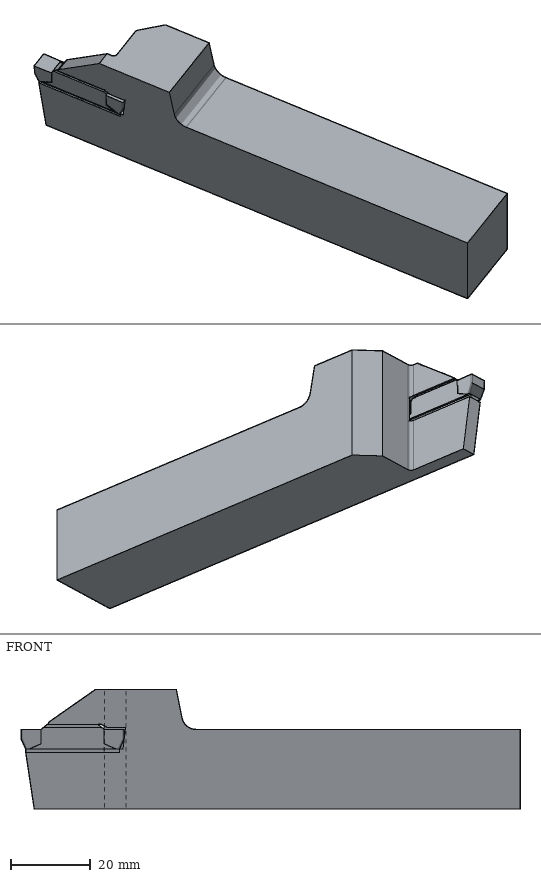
import cadquery as cq
import math

length = 125.0
shank_width = 20.0
shank_height = 20.0
head_height = 30.0

toe_x = 3.2
nose_x = 1.1
jaw_tip_x = 6.6
jaw_lip_x = 7.0
jaw_lip_z = 21.9
ramp_end_x = 18.6
head_end_x = 38.9
head_foot_x = 40.9
head_foot_radius = 3.5

blade_thickness = 4.0
body_start_x = 20.9
body_chamfer = 5.4
blade_root_radius = 1.0

insert_length = 25.8
cutting_width = 5.0
cutting_length = 5.0
cutting_top_z = 20.0
side_clearance_angle = 2.1
cutting_heel_width = 4.8
flank_overrun = 1.2
corner_radius = 0.2
tip_relief_z = 17.5
web_bottom_z = 14.1
lower_edge_z = 15.0
upper_edge_z = 20.5
web_top_z = 21.2
web_ramp_run = 1.5
keel_inset = 0.5
heel_length = 3.1
heel_drop = 1.4

pocket_floor_end_x = 24.6
pocket_heel_x = 25.5
pocket_roof_end_x = 26.1
pocket_step_x = 21.5

blade_mid_y = blade_thickness / 2
insert_front_y = blade_mid_y - cutting_width / 2
insert_back_y = blade_mid_y + cutting_width / 2
insert_mid_x = insert_length / 2


def side_plate(points, front_y, back_y):
    """Extrude a closed XZ outline from front_y to back_y."""
    plane = cq.Workplane("XZ", origin=(0, front_y, 0))
    return plane.polyline(points).close().extrude(front_y - back_y)


def lengthwise_bar(section):
    """Extrude a closed YZ outline along the insert."""
    return cq.Workplane("YZ").polyline(section).close().extrude(insert_length)


def mirrored_section(half_section):
    """Close a list of (half width, Z) points about the middle of the blade."""
    back = [(blade_mid_y + half, z) for half, z in half_section]
    front = [(blade_mid_y - half, z) for half, z in reversed(half_section)]
    return back + front


def make_holder_profile():
    points = [
        (toe_x, 0),
        (length, 0),
        (length, shank_height),
        (head_foot_x, shank_height),
        (head_end_x, head_height),
        (ramp_end_x, head_height),
        (jaw_lip_x, jaw_lip_z),
        (jaw_tip_x, web_top_z),
        (nose_x, web_bottom_z),
    ]
    foot_tolerance = 0.1
    foot_box = cq.selectors.BoxSelector(
        (head_foot_x - foot_tolerance, 0, shank_height - foot_tolerance),
        (head_foot_x + foot_tolerance, shank_width, shank_height + foot_tolerance),
    )
    return side_plate(points, 0, shank_width).edges(foot_box).fillet(head_foot_radius)


def make_holder_plan():
    """Plan outline: thin blade, filleted root, chamfered body corner."""
    root_mid = blade_root_radius * (1 - math.sqrt(0.5))
    return (
        cq.Workplane("XY")
        .moveTo(0, 0)
        .lineTo(length, 0)
        .lineTo(length, shank_width)
        .lineTo(body_start_x + body_chamfer, shank_width)
        .lineTo(body_start_x, shank_width - body_chamfer)
        .lineTo(body_start_x, blade_thickness + blade_root_radius)
        .threePointArc(
            (body_start_x - root_mid, blade_thickness + root_mid),
            (body_start_x - blade_root_radius, blade_thickness),
        )
        .lineTo(0, blade_thickness)
        .close()
        .extrude(head_height)
    )


def make_pocket():
    """Seat for the insert, open at the nose and stopped at the rear."""
    points = [
        (0, web_bottom_z),
        (pocket_floor_end_x, web_bottom_z),
        (pocket_floor_end_x, lower_edge_z),
        (pocket_heel_x, lower_edge_z),
        (pocket_roof_end_x, upper_edge_z),
        (pocket_step_x, upper_edge_z),
        (pocket_step_x - web_ramp_run, web_top_z),
        (0, web_top_z),
    ]
    return side_plate(points, insert_front_y, insert_back_y)


def make_holder():
    return make_holder_profile().intersect(make_holder_plan()).cut(make_pocket())


def make_insert_web():
    """Middle of the insert, with a narrower keel along the top and bottom."""
    left = [
        (nose_x, web_bottom_z),
        (nose_x, lower_edge_z),
        (0, tip_relief_z),
        (0, cutting_top_z),
        (cutting_length, cutting_top_z),
        (cutting_length + web_ramp_run, web_top_z),
    ]
    right = [(insert_length - x, z) for x, z in reversed(left)]
    half_width = blade_thickness / 2
    half_section = [
        (half_width - keel_inset, web_bottom_z),
        (half_width - keel_inset, lower_edge_z),
        (half_width, lower_edge_z),
        (half_width, upper_edge_z),
        (half_width - keel_inset, upper_edge_z),
        (half_width - keel_inset, web_top_z),
    ]
    profile = side_plate(left + right, 0, blade_thickness)
    return profile.intersect(lengthwise_bar(mirrored_section(half_section)))


def make_cutting_head():
    """Wide cutting end at the nose, narrowing downwards and rearwards for side clearance."""
    points = [
        (0, cutting_top_z),
        (0, tip_relief_z),
        (nose_x, lower_edge_z),
        (cutting_length - heel_length, lower_edge_z),
        (cutting_length, lower_edge_z + heel_drop),
        (cutting_length, cutting_top_z),
    ]
    flank_slope = (cutting_width - cutting_heel_width) / 2 / cutting_length
    flank_start_x = -flank_overrun
    flank_end_x = cutting_length + flank_overrun
    start_half_width = cutting_width / 2 - flank_slope * flank_start_x
    end_half_width = cutting_width / 2 - flank_slope * flank_end_x
    plan = [
        (flank_start_x, blade_mid_y - start_half_width),
        (flank_end_x, blade_mid_y - end_half_width),
        (flank_end_x, blade_mid_y + end_half_width),
        (flank_start_x, blade_mid_y + start_half_width),
    ]
    flanks = (
        cq.Workplane("XY", origin=(0, 0, cutting_top_z))
        .polyline(plan)
        .close()
        .extrude(lower_edge_z - cutting_top_z, taper=side_clearance_angle)
    )
    head = side_plate(points, insert_front_y, insert_back_y).intersect(flanks)
    tip = cq.selectors.BoxSelector(
        (-nose_x, insert_front_y, lower_edge_z),
        (nose_x, insert_back_y, cutting_top_z),
    )
    return head.edges(tip).edges("not #Z").fillet(corner_radius)


def make_insert():
    nose_head = make_cutting_head()
    rear_head = nose_head.mirror("YZ", (insert_mid_x, 0, 0))
    return make_insert_web().union(nose_head).union(rear_head)


holder = make_holder()
insert = make_insert()
result = cq.Compound.makeCompound([holder.solids().val(), insert.solids().val()])